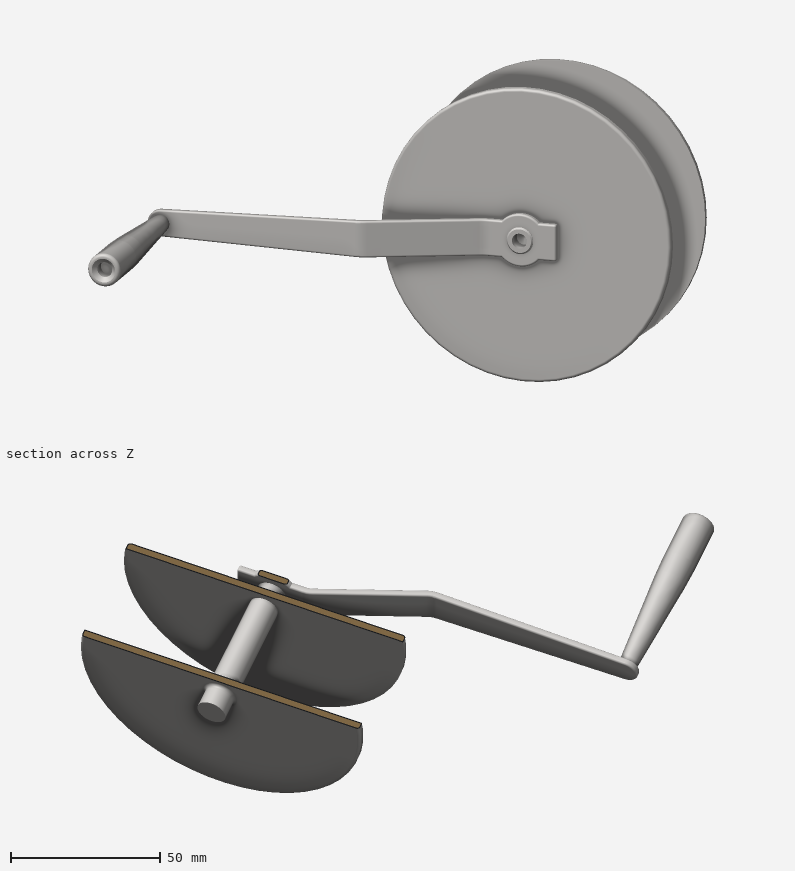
import cadquery as cq
import math


shaft_diameter = 10.1
shaft_length = 56.2
stub_diameter = 9.2
stub_chamfer = 0.5
bore_diameter = 5.2
shaft_bore_depth = 5.3
drill_point_angle = 118

flange_diameter = 101.5
flange_thickness = 2.7
back_flange_depth = 7.6
front_flange_depth = 46.2
rim_round = 1.0
hub_fillet = 1.0

crank_thickness = 2.5
crank_back_depth = 53.0
crank_offset = 15.0
crank_width = 12.6
crank_tip = 12.6
crank_boss_diameter = 18.1
crank_end_diameter = 9.2
upper_bend_x = -12.8
lower_bend_x = -51.4
bend_inner_radius = 8.0
crank_edge_round = 0.7

overall_length = 177.8
overall_depth = 134.0
grip_diameter = 11.4
grip_neck_diameter = 6.2
grip_cone_diameter = 10.8
grip_cone_length = 37.3
grip_swell_length = 8.0
grip_end_round = 1.2
grip_bore_depth = 5.3
grip_countersink_diameter = 8.2

grip_x = flange_diameter / 2 - overall_length + grip_diameter / 2
grip_start_depth = crank_back_depth + crank_offset + crank_thickness


def rod(diameter, depth, length, x=0):
    """Cylinder along -Y that starts at the given depth."""
    return cq.Workplane("XZ", origin=(x, -depth, 0)).circle(diameter / 2).extrude(length)


def make_flange(depth, fillet_side):
    """Disc whose outer side has a rounded rim and a concave hub fillet (+1 back, -1 front)."""
    outer_face = ">Y" if fillet_side > 0 else "<Y"
    disc = rod(flange_diameter, depth, flange_thickness).faces(outer_face).edges().fillet(rim_round)
    face_y = -depth if fillet_side > 0 else -depth - flange_thickness
    shaft_radius = shaft_diameter / 2
    fillet_top = face_y + fillet_side * hub_fillet
    arc_inset = hub_fillet * (1 - math.sqrt(0.5))
    hub = (
        cq.Workplane("XY")
        .moveTo(0, face_y)
        .lineTo(shaft_radius + hub_fillet, face_y)
        .threePointArc(
            (shaft_radius + arc_inset, face_y + fillet_side * arc_inset),
            (shaft_radius, fillet_top),
        )
        .lineTo(0, fillet_top)
        .close()
        .revolve(360, (0, 0, 0), (0, 1, 0))
    )
    return disc.union(hub)


def make_shaft():
    """Plain shaft with a thinner, chamfered stub that passes through the crank."""
    stub_length = shaft_length - crank_back_depth
    stub = rod(stub_diameter, crank_back_depth, stub_length).faces("<Y").chamfer(stub_chamfer)
    return rod(shaft_diameter, 0, crank_back_depth).union(stub)


def make_shaft_bore():
    """Blind drilled hole with a conical bottom in the front end of the shaft."""
    radius = bore_diameter / 2
    bottom = -shaft_length + shaft_bore_depth
    point_height = radius / math.tan(math.radians(drill_point_angle / 2))
    profile = [(0, -shaft_length), (radius, -shaft_length), (radius, bottom), (0, bottom + point_height)]
    return cq.Workplane("XY").polyline(profile).close().revolve(360, (0, 0, 0), (0, 1, 0))


def make_crank():
    bend_angle = math.atan2(crank_offset, upper_bend_x - lower_bend_x)
    bend_shift = crank_thickness * math.tan(bend_angle / 2)
    left_end = grip_x - crank_end_diameter / 2
    upper_y = -crank_back_depth
    lower_y = upper_y - crank_offset
    half_shift = bend_shift / 2
    sheet_profile = [
        (crank_tip, upper_y),
        (upper_bend_x - half_shift, upper_y),
        (lower_bend_x - half_shift, lower_y),
        (left_end, lower_y),
        (left_end, lower_y - crank_thickness),
        (lower_bend_x + half_shift, lower_y - crank_thickness),
        (upper_bend_x + half_shift, upper_y - crank_thickness),
        (crank_tip, upper_y - crank_thickness),
    ]
    sheet = (
        cq.Workplane("XY")
        .polyline(sheet_profile)
        .close()
        .extrude(crank_boss_diameter / 2, both=True)
    )
    bends = (
        (upper_bend_x - half_shift, upper_y, True),
        (lower_bend_x - half_shift, lower_y, False),
        (lower_bend_x + half_shift, lower_y - crank_thickness, True),
        (upper_bend_x + half_shift, upper_y - crank_thickness, False),
    )
    for x, y, is_outer in bends:
        radius = bend_inner_radius + (crank_thickness if is_outer else 0)
        sheet = sheet.edges(cq.selectors.NearestToPointSelector((x, y, 0))).fillet(radius)

    end_radius = crank_end_diameter / 2
    half_width = crank_width / 2
    outline = (
        cq.Workplane("XZ")
        .moveTo(crank_tip, half_width)
        .lineTo(lower_bend_x, half_width)
        .lineTo(grip_x, end_radius)
        .threePointArc((grip_x - end_radius, 0), (grip_x, -end_radius))
        .lineTo(lower_bend_x, -half_width)
        .lineTo(crank_tip, -half_width)
        .close()
        .extrude(overall_depth)
    )
    outline = outline.union(rod(crank_boss_diameter, 0, overall_depth))
    crank = sheet.intersect(outline)
    crank = crank.edges("not (|Y or |Z)").fillet(crank_edge_round)
    return crank.faces(">X").edges("|Z").fillet(crank_edge_round)


def make_grip():
    """Cone that swells smoothly into a round-ended cylinder with a countersunk blind bore."""
    radius = grip_diameter / 2
    start_y = -grip_start_depth
    cone_y = start_y - grip_cone_length
    swell_y = cone_y - grip_swell_length
    grip = (
        cq.Workplane("XY", origin=(grip_x, 0, 0))
        .moveTo(0, start_y + crank_thickness / 2)
        .lineTo(grip_neck_diameter / 2, start_y + crank_thickness / 2)
        .lineTo(grip_neck_diameter / 2, start_y)
        .lineTo(grip_cone_diameter / 2, cone_y)
        .spline(
            [(radius, swell_y)],
            tangents=[((grip_cone_diameter - grip_neck_diameter) / 2, -grip_cone_length), (0, -1)],
            includeCurrent=True,
        )
        .lineTo(radius, -overall_depth)
        .lineTo(0, -overall_depth)
        .close()
        .revolve(360, (0, 0, 0), (0, 1, 0))
    )
    grip = grip.faces("<Y").edges().fillet(grip_end_round)
    bore = rod(bore_diameter, overall_depth - grip_bore_depth, grip_bore_depth, grip_x)
    countersink_depth = (grip_countersink_diameter - bore_diameter) / 2
    countersink = cq.Workplane(
        cq.Solid.makeCone(
            grip_countersink_diameter / 2,
            bore_diameter / 2,
            countersink_depth,
            cq.Vector(grip_x, -overall_depth, 0),
            cq.Vector(0, 1, 0),
        )
    )
    return grip.cut(bore).cut(countersink)


result = (
    make_shaft()
    .union(make_flange(back_flange_depth, 1))
    .union(make_flange(front_flange_depth, -1))
    .union(make_crank())
    .union(make_grip())
    .cut(make_shaft_bore())
)